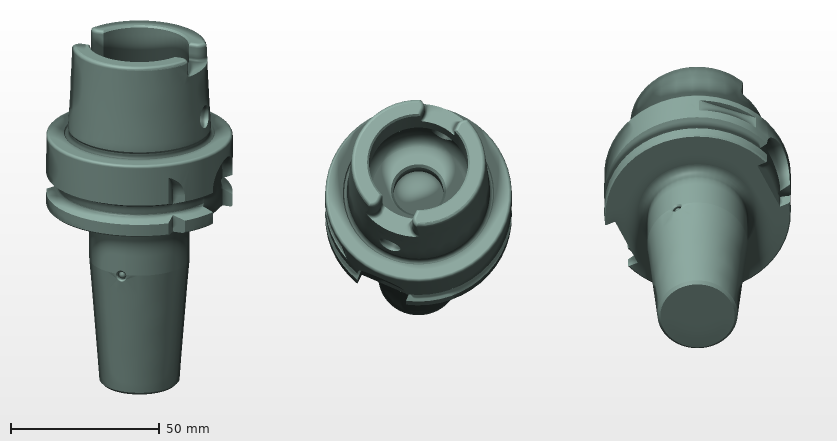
import cadquery as cq
import math

total_height = 122.0

nose_radius = 13.5
nose_rounding = 1.0
neck_radius = 17.0
taper_top_z = 44.7
neck_fillet = 3.0

flange_radius = 31.5
flange_bottom_z = 64.0
flange_top_z = 89.9
flange_rounding = 1.0
flange_bottom_chamfer = 0.5
groove_radius = 27.6
groove_lower_edge_z = 68.6
groove_lower_floor_z = 70.4
groove_upper_floor_z = 73.7
groove_upper_edge_z = 75.5
groove_fillet = 0.7

cone_base_radius = 24.2
cone_top_radius = 22.7
cone_base_z = 92.0
rim_rounding = 1.2
relief_depth = 0.4
relief_fillet = 1.1
relief_upper_z = 91.3
face_relief_depth = 0.5
face_relief_inner_radius = 25.1
face_relief_outer_radius = 25.5

bore_radius = 16.7
bore_chamfer = 0.6
bore_lip_z = 109.4
undercut_radius = 19.8
cavity_floor_z = 92.6
cavity_floor_fillet = 4.0
pilot_radius = 9.3
pilot_chamfer = 0.9
pilot_depth = 4.9

drive_slot_half_width = 6.2
drive_corner_radius = 3.0
drive_mouth_radius = 23.2
deep_slot_floor_z = 112.0
deep_slot_rounding = 1.2
shallow_slot_floor_z = 116.0
shallow_slot_rounding = 1.0

cross_hole_radius = 3.9
cross_hole_z = 99.0

keyway_radius = 9.0
keyway_floor_x = 26.5
keyway_top_z = 85.2
notch_corner = 20.0
notch_radius = 8.7
notch_center_z = 77.6
pocket_distance = 29.8
pocket_bottom_z = 79.9
pocket_top_z = 86.1
pocket_angle = 135

ball_radius = 1.5
ball_z = 43.9
ball_center_distance = 14.9
ball_hole_chamfer = 0.6
ball_angles = [-90, 90]

outside = 2 * flange_radius


def turned_body():
    """Outside shape turned about Z."""
    arc_mid = neck_fillet * (1 - math.sqrt(0.5))
    relief_radius = cone_base_radius - relief_depth
    groove_slope = math.atan2(groove_lower_floor_z - groove_lower_edge_z, flange_radius - groove_radius)
    fillet_length = groove_fillet * math.tan((math.pi / 2 - groove_slope) / 2)
    profile = (
        cq.Workplane("XZ")
        .lineTo(nose_radius - nose_rounding, 0)
        .lineTo(nose_radius, nose_rounding)
        .lineTo(neck_radius, taper_top_z)
        .lineTo(neck_radius, flange_bottom_z - neck_fillet)
        .threePointArc(
            (neck_radius + arc_mid, flange_bottom_z - arc_mid),
            (neck_radius + neck_fillet, flange_bottom_z),
        )
        .lineTo(flange_radius - flange_bottom_chamfer, flange_bottom_z)
        .lineTo(flange_radius, flange_bottom_z + flange_bottom_chamfer)
        .lineTo(flange_radius, groove_lower_edge_z)
        .lineTo(
            groove_radius + fillet_length * math.cos(groove_slope),
            groove_lower_floor_z - fillet_length * math.sin(groove_slope),
        )
        .radiusArc((groove_radius, groove_lower_floor_z + fillet_length), groove_fillet)
        .lineTo(groove_radius, groove_upper_floor_z)
        .lineTo(flange_radius, groove_upper_edge_z)
        .lineTo(flange_radius, flange_top_z - flange_rounding)
        .radiusArc((flange_radius - flange_rounding, flange_top_z), -flange_rounding)
        .lineTo(face_relief_outer_radius, flange_top_z)
        .lineTo(face_relief_inner_radius, flange_top_z - face_relief_depth)
        .lineTo(relief_radius + relief_fillet, flange_top_z - face_relief_depth)
        .radiusArc((relief_radius, flange_top_z - face_relief_depth + relief_fillet), relief_fillet)
        .lineTo(relief_radius, relief_upper_z)
        .lineTo(cone_base_radius, cone_base_z)
        .lineTo(cone_top_radius, total_height - rim_rounding)
        .radiusArc((cone_top_radius - rim_rounding, total_height), -rim_rounding)
        .lineTo(0, total_height)
        .close()
    )
    return profile.revolve(360, (0, 0, 0), (0, 1, 0))


def cavity():
    """Hollow of the shank, open at the top and undercut below the bore lip."""
    return (
        cq.Workplane("XZ")
        .moveTo(0, cavity_floor_z - pilot_depth)
        .lineTo(pilot_radius - pilot_chamfer, cavity_floor_z - pilot_depth)
        .lineTo(pilot_radius - pilot_chamfer, cavity_floor_z - pilot_chamfer)
        .lineTo(pilot_radius, cavity_floor_z)
        .lineTo(undercut_radius - cavity_floor_fillet, cavity_floor_z)
        .radiusArc((undercut_radius, cavity_floor_z + cavity_floor_fillet), -cavity_floor_fillet)
        .lineTo(undercut_radius, bore_lip_z)
        .lineTo(bore_radius, bore_lip_z)
        .lineTo(bore_radius, total_height - bore_chamfer)
        .lineTo(bore_radius + bore_chamfer, total_height)
        .lineTo(0, total_height)
        .close()
        .revolve(360, (0, 0, 0), (0, 1, 0))
    )


def drive_slot(floor_z, rounding, side):
    """Slot through one rim wall, with rounded mouth corners; side is +1 for +X, -1 for -X."""
    corner_y = drive_slot_half_width + drive_corner_radius
    corner_distance = drive_mouth_radius - drive_corner_radius
    corner_x = math.sqrt(corner_distance**2 - corner_y**2)
    mouth_x = corner_x * drive_mouth_radius / corner_distance
    mouth_y = corner_y * drive_mouth_radius / corner_distance
    slot = (
        cq.Workplane("XY", origin=(0, 0, floor_z))
        .moveTo(0, -drive_slot_half_width)
        .lineTo(corner_x, -drive_slot_half_width)
        .radiusArc((mouth_x, -mouth_y), drive_corner_radius)
        .lineTo(2 * mouth_x, -2 * mouth_y)
        .lineTo(2 * mouth_x, 2 * mouth_y)
        .lineTo(mouth_x, mouth_y)
        .radiusArc((corner_x, drive_slot_half_width), drive_corner_radius)
        .lineTo(0, drive_slot_half_width)
        .close()
        .extrude(total_height - floor_z)
        .faces("<Z")
        .edges()
        .fillet(rounding)
    )
    slab = cq.Workplane("XY", origin=(0, 0, total_height))
    slab = slab.rect(4 * outside, 4 * outside).extrude(rim_rounding)
    flare_edges = cq.selectors.BoxSelector(
        (-rim_rounding, -outside, total_height - rim_rounding / 2),
        (outside, outside, total_height + rim_rounding / 2),
    )
    slot = slot.union(slab).edges(flare_edges).fillet(rim_rounding)
    return slot if side > 0 else slot.mirror("YZ")


def cross_hole():
    """Radial hole along X through both shank walls."""
    return (
        cq.Workplane("YZ", origin=(-outside, 0, cross_hole_z))
        .circle(cross_hole_radius)
        .extrude(2 * outside)
    )


def arched_slot(floor_x, center_y, center_z, radius):
    """Cutter running along +X from floor_x: round top, straight sides, open below the flange."""
    height = center_z - flange_bottom_z
    return (
        cq.Workplane("YZ", origin=(floor_x, center_y, center_z))
        .moveTo(-radius, -height)
        .lineTo(-radius, 0)
        .threePointArc((0, radius), (radius, 0))
        .lineTo(radius, -height)
        .close()
        .extrude(outside)
    )


def keyways():
    """Two opposite arched keyways in the flange."""
    keyway = arched_slot(keyway_floor_x, 0, keyway_top_z - keyway_radius, keyway_radius)
    return keyway.union(keyway.mirror("YZ"))


def corner_notch():
    """Notch in the flange rim with square inner corner at equal distances from X and Y."""
    return arched_slot(notch_corner, -notch_corner - notch_radius, notch_center_z, notch_radius)


def flat_pocket():
    """Flat milled across the flange rim, between the X and Y axes."""
    return (
        cq.Workplane("XY", origin=(0, 0, pocket_bottom_z))
        .center(pocket_distance + outside / 2, 0)
        .rect(outside, outside)
        .extrude(pocket_top_z - pocket_bottom_z)
        .rotate((0, 0, 0), (0, 0, 1), pocket_angle)
    )


def ball(angle):
    """Ball sitting in the neck at the given angle about Z."""
    return (
        cq.Workplane("XY")
        .sphere(ball_radius)
        .translate((ball_center_distance, 0, ball_z))
        .rotate((0, 0, 0), (0, 0, 1), angle)
    )


def ball_seat(angle):
    """Round-bottomed radial hole for a ball, chamfered at the neck surface."""
    return (
        cq.Workplane("XY")
        .moveTo(ball_center_distance - ball_radius, 0)
        .radiusArc((ball_center_distance, ball_radius), ball_radius)
        .lineTo(neck_radius - ball_hole_chamfer, ball_radius)
        .lineTo(neck_radius, ball_radius + ball_hole_chamfer)
        .lineTo(outside, ball_radius + ball_hole_chamfer)
        .lineTo(outside, 0)
        .close()
        .revolve(360, (0, 0, 0), (1, 0, 0))
        .translate((0, 0, ball_z))
        .rotate((0, 0, 0), (0, 0, 1), angle)
    )


holder = turned_body()
holder = holder.cut(drive_slot(deep_slot_floor_z, deep_slot_rounding, -1))
holder = holder.cut(drive_slot(shallow_slot_floor_z, shallow_slot_rounding, 1))
holder = holder.cut(cavity())
holder = holder.cut(cross_hole())
holder = holder.cut(keyways())
holder = holder.cut(corner_notch())
holder = holder.cut(flat_pocket())
for seat_angle in ball_angles:
    holder = holder.cut(ball_seat(seat_angle))

balls = [ball(angle).val() for angle in ball_angles]

result = cq.Compound.makeCompound([holder.val(), *balls])